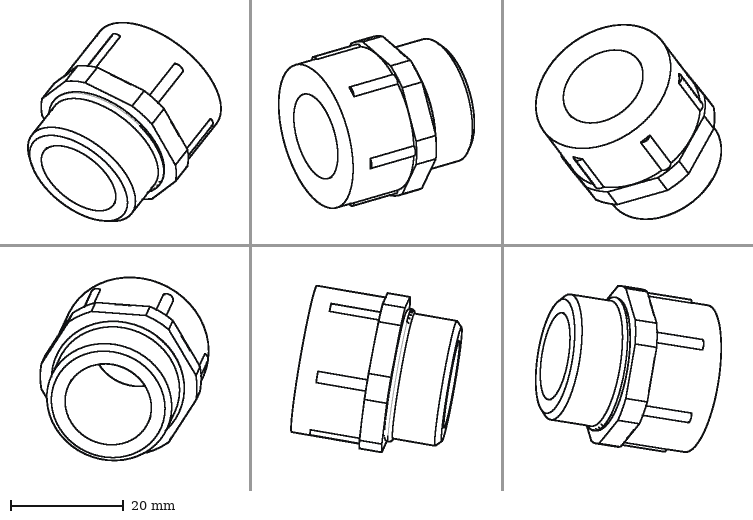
import cadquery as cq
import math

length = 26.5
bore_diameter = 15.55

across_flats = 26.5
across_corners = 28.25
collar_width = 4.05

barrel_diameter = 26.35
barrel_length = 12.43
spigot_diameter = 22.5
spigot_chamfer = 1.02

ring_section_radius = 0.7

rib_count = 6
rib_radius = 1.25
rib_tip_radius = 13.68
rib_length = 8.93

front_y = -length / 2
back_y = length / 2
collar_back_y = back_y - barrel_length
collar_front_y = collar_back_y - collar_width
spigot_length = collar_front_y - front_y


def plane_at(y):
    """Plane across the axis, with X to the right, Z up and its normal toward -Y."""
    return cq.Workplane("XZ", origin=(0, y, 0))


def cylinder(diameter, start_y, cylinder_length):
    """Cylinder on the axis, running from start_y toward -Y."""
    return plane_at(start_y).circle(diameter / 2).extrude(cylinder_length)


def make_collar():
    """Hexagon with flats at top and bottom, its corners turned down to a cylinder."""
    sharp_corners = across_flats / math.cos(math.pi / 6)
    hexagon = plane_at(collar_back_y).polygon(6, sharp_corners).extrude(collar_width)
    return hexagon.intersect(cylinder(across_corners, collar_back_y, collar_width))


def make_spigot():
    spigot = cylinder(spigot_diameter, collar_front_y, spigot_length)
    return spigot.faces("<Y").chamfer(spigot_chamfer)


def make_ring():
    ring = cq.Solid.makeTorus(
        spigot_diameter / 2,
        ring_section_radius,
        cq.Vector(0, collar_front_y - ring_section_radius, 0),
        cq.Vector(0, 1, 0),
    )
    return cq.Workplane(obj=ring)


def make_ribs():
    """Round bars partly sunk in the barrel, one in line with each hexagon corner."""
    centre_radius = rib_tip_radius - rib_radius
    return (
        plane_at(collar_back_y)
        .polarArray(centre_radius, 0, 360, rib_count)
        .circle(rib_radius)
        .extrude(-rib_length)
    )


body = cylinder(barrel_diameter, back_y, barrel_length)
for feature in (make_collar(), make_spigot(), make_ring(), make_ribs()):
    body = body.union(feature)

result = body.cut(cylinder(bore_diameter, back_y, length))